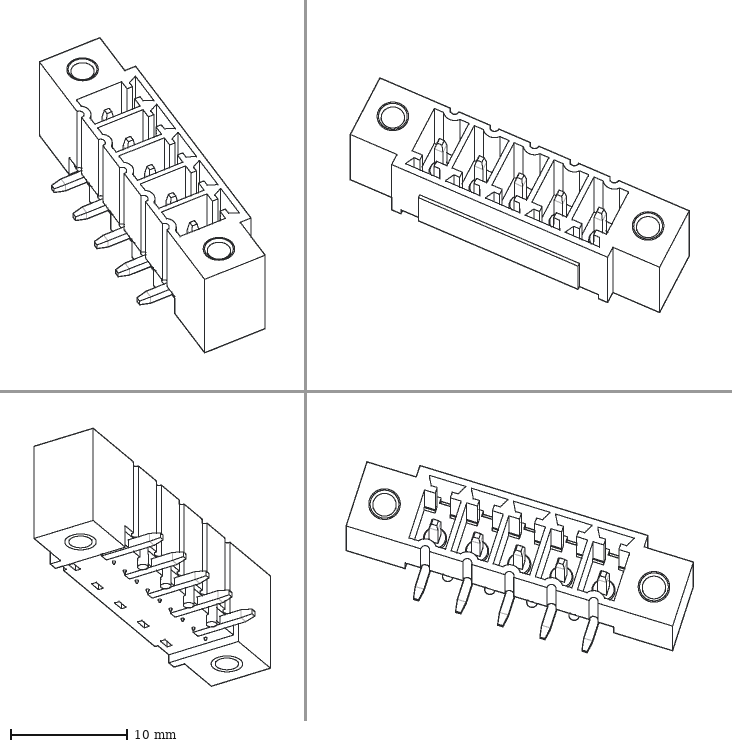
import cadquery as cq

contact_count = 5
pitch = 3.8
contact_y = 2.83
contact_xs = [(i - (contact_count - 1) / 2) * pitch for i in range(contact_count)]
gap_xs = [x + pitch / 2 for x in contact_xs[:-1]]

length = 29.45
height = 9.2
flange_depth = 5.95
shroud_depth = 7.0
shroud_length = 20.55
strip_length = (contact_count - 1) * pitch
strip_depth = 0.3
strip_height = 4.7

standoff = 0.8
gap_length = 18.78
front_step_depth = 0.5
floor_z = 2.12
post_diameter = 0.9
post_y = post_diameter / 2
nub_diameter = 0.3
nub_tip_diameter = 0.1
nub_height = 0.25

cavity_width = 3.3
cavity_front_y = 0.62
lip_front_y = 5.05
lip_back_y = 5.6
cavity_back_y = 6.42
neck_width = 1.35
dovetail_width = 2.45
lip_foot_depth = 0.1
lip_foot_height = 0.88
window_width = 1.15
collar_diameter = 2.0
collar_top_diameter = 1.83
collar_height = 0.3
groove_diameter = 0.8
bulge_diameter = 2.0

pin_width = 0.8
pin_tip_width = 0.47
pin_taper = 1.0
pin_top_z = 8.18
pin_front_y = -2.6

insert_spacing = 24.3
insert_diameter = 2.7
insert_bore = 2.0
insert_chamfer = 0.25
insert_xs = [-insert_spacing / 2, insert_spacing / 2]


def block(width, y_front, y_back, z_bottom, z_top, x=0.0):
    """Box centred on x and given by its limits along Y and Z."""
    size = (width, y_back - y_front, z_top - z_bottom)
    return cq.Workplane("XY").box(*size, centered=(True, False, False)).translate((x, y_front, z_bottom))


def cylinder(diameter, x, y, z_bottom, z_top):
    return cq.Workplane("XY", origin=(x, y, z_bottom)).circle(diameter / 2).extrude(z_top - z_bottom)


def frustum(base_diameter, tip_diameter, rise, x, y, z):
    """Cone frustum standing on z; a negative rise points it downwards."""
    profile = [(0, 0), (base_diameter / 2, 0), (tip_diameter / 2, rise), (0, rise)]
    return cq.Workplane("XZ").polyline(profile).close().revolve(360, (0, 0), (0, 1)).translate((x, y, z))


def make_envelope():
    body = block(length, 0, flange_depth, 0, height)
    body = body.union(block(shroud_length, 0, shroud_depth, 0, height))
    strip_back_y = shroud_depth + strip_depth
    body = body.union(block(strip_length, flange_depth, strip_back_y, standoff, standoff + strip_height))
    body = body.cut(block(gap_length, 0, strip_back_y, 0, standoff))
    return body.cut(block(gap_length, 0, front_step_depth, 0, floor_z))


def make_cavity(x):
    """Contact chamber, keyed at the back by a neck and a dovetail."""
    half_cavity = cavity_width / 2
    half_neck = neck_width / 2
    half_dovetail = dovetail_width / 2
    right_side = [
        (half_cavity, cavity_front_y),
        (half_cavity, lip_front_y),
        (half_neck, lip_front_y),
        (half_neck, lip_back_y),
        (half_dovetail, lip_back_y),
        (half_cavity, cavity_back_y),
    ]
    left_side = [(-px, py) for px, py in reversed(right_side)]
    outline = cq.Workplane("XY", origin=(x, 0, floor_z)).polyline(right_side + left_side).close()
    cavity = outline.extrude(height - floor_z)

    foot_front_y = lip_front_y - lip_foot_depth
    foot_top_z = floor_z + lip_foot_height
    lip_feet = block(cavity_width, foot_front_y, lip_front_y, floor_z, foot_top_z, x)
    lip_feet = lip_feet.cut(block(neck_width, foot_front_y, lip_front_y, floor_z, foot_top_z, x))

    bulge = cylinder(bulge_diameter, x, 0, floor_z, height)
    collar = frustum(collar_diameter, collar_top_diameter, collar_height, x, contact_y, floor_z)
    return cavity.cut(lip_feet).cut(bulge).cut(collar)


def make_housing(contacts):
    body = make_envelope()
    for x in contact_xs:
        body = body.cut(make_cavity(x))
        body = body.cut(block(window_width, flange_depth, cavity_back_y, standoff, floor_z, x))
        body = body.cut(cylinder(groove_diameter, x, 0, floor_z, height))
        for side in (-1, 1):
            nub_x = x + side * collar_diameter / 2
            body = body.union(frustum(nub_diameter, nub_tip_diameter, -nub_height, nub_x, contact_y, standoff))
    for x in gap_xs:
        body = body.union(cylinder(post_diameter, x, post_y, 0, floor_z))
    for x in insert_xs:
        body = body.cut(cylinder(insert_diameter, x, contact_y, 0, height))
    for contact in contacts:
        body = body.cut(contact)
    return body


def make_contact(x):
    """Square right-angle pin with a tapered tip at each end."""
    half = pin_width / 2
    shoulder_z = pin_top_z - pin_taper
    shoulder_y = pin_front_y + pin_taper
    leg_z = standoff + half
    upright = block(pin_width, contact_y - half, contact_y + half, standoff, shoulder_z, x)
    leg = block(pin_width, shoulder_y, contact_y, standoff, standoff + pin_width, x)
    top_base = cq.Workplane("XY", origin=(x, contact_y, shoulder_z)).rect(pin_width, pin_width)
    top_tip = top_base.workplane(offset=pin_taper).rect(pin_tip_width, pin_tip_width).loft()
    front_base = cq.Workplane("XZ", origin=(x, shoulder_y, leg_z)).rect(pin_width, pin_width)
    front_tip = front_base.workplane(offset=pin_taper).rect(pin_tip_width, pin_tip_width).loft()
    return upright.union(leg).union(top_tip).union(front_tip)


def make_insert(x):
    """Mounting bushing with a chamfered bore."""
    bushing = cylinder(insert_diameter, x, contact_y, 0, height)
    bushing = bushing.cut(cylinder(insert_bore, x, contact_y, 0, height))
    mouth = insert_bore + 2 * insert_chamfer
    return bushing.cut(frustum(mouth, insert_bore, -insert_chamfer, x, contact_y, height))


contacts = [make_contact(x) for x in contact_xs]
inserts = [make_insert(x) for x in insert_xs]
housing = make_housing(contacts)

result = cq.Compound.makeCompound(
    [housing.val()] + [contact.val() for contact in contacts] + [insert.val() for insert in inserts]
)